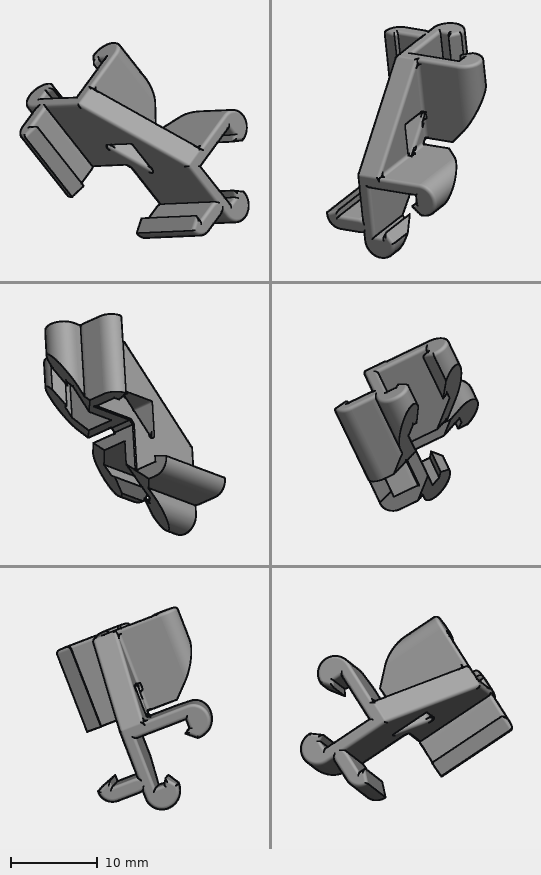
import cadquery as cq
import math


wall = 1.5
channel_inside = 7.65
hook_radius = 2.0
clip_start = -10.51
clip_end = -0.55
hook_center = channel_inside + 0.7
hook_flat = 0.2
hook_tip = (3.0, 6.95)
hook_notch = 2.55

arm_inner = 5.72
arm_width = 1.77
arm_drop = 3.08
arm_tip_reach = 0.76
arm_end_offset = 0.1
shoulder_height = 0.53
shoulder_radius = 2.0

web_height = 2 * wall
web_inner_line = 0.65
window_leg = 3.98
window_line = 3.03
window_corner = 0.5
window_square_corner = 0.2

edge_radius = 0.4
end_break = 0.13

first_bevel_offset = 6.11
first_bevel_lean = 1.0
second_bevel_offset = 5.9
second_bevel_lean = 1.12
far = 52.7

turn_z = 6.9
turn_y = -25.3
turn_x = -67.1

DIAGONAL = (1, 1, 0)


def extrude_along_y(sketch, start, end):
    return sketch.extrude(start - end).translate((0, start, 0))


def channel():
    outer = hook_center + hook_radius
    hook_end = 2 * hook_radius
    outline = (
        cq.Workplane("XZ")
        .lineTo(0, hook_center)
        .threePointArc((-hook_radius, outer), (-hook_end, hook_center))
        .lineTo(-hook_end, hook_center - hook_flat)
        .lineTo(-hook_tip[0], hook_tip[1])
        .lineTo(-hook_notch, channel_inside)
        .lineTo(-wall, channel_inside)
        .lineTo(-wall, wall)
        .lineTo(-channel_inside, wall)
        .lineTo(-channel_inside, hook_notch)
        .lineTo(-hook_tip[1], hook_tip[0])
        .lineTo(-hook_center + hook_flat, hook_end)
        .lineTo(-hook_center, hook_end)
        .threePointArc((-outer, hook_radius), (-hook_center, 0))
        .close()
    )
    bar = extrude_along_y(outline, clip_start, clip_end)
    bar = bar.faces("<Y").edges().fillet(edge_radius)
    return bar.faces(">Y").edges("<Z").chamfer(end_break)


def side_hook():
    arm_outer = arm_inner + arm_width
    arc_mid = arm_width * math.sqrt(0.5)
    end_x = arm_inner - arm_end_offset
    end_z = arm_drop + math.sqrt(arm_width**2 - arm_end_offset**2)
    root = edge_radius
    top = shoulder_height + root
    half = top / 2
    top_inset = shoulder_radius - math.sqrt(shoulder_radius**2 - top**2)
    half_inset = shoulder_radius - math.sqrt(shoulder_radius**2 - half**2)
    half_z = half - shoulder_height
    outline = (
        cq.Workplane("XZ")
        .moveTo(-arm_outer + top_inset, root)
        .threePointArc((-arm_outer + half_inset, half_z), (-arm_outer, -shoulder_height))
        .lineTo(-arm_outer, -arm_drop)
        .threePointArc((-arm_inner - arc_mid, -arm_drop - arc_mid), (-end_x, -end_z))
        .lineTo(-arm_inner + arm_tip_reach, -arm_drop)
        .lineTo(-arm_inner, -arm_drop)
        .lineTo(-arm_inner, -shoulder_height)
        .threePointArc((-arm_inner - half_inset, half_z), (-arm_inner - top_inset, root))
        .close()
    )
    hook = extrude_along_y(outline, clip_start, clip_end)
    below_root = cq.selectors.BoxSelector((-far, -far, -far), (far, far, root / 2))
    return hook.faces("<Y").edges(below_root).fillet(edge_radius)


def bevel_space(offset, lean):
    plane = cq.Plane(origin=(0, 0, offset), xDir=(1, 0, 1), normal=(-1, lean, 1))
    return cq.Workplane(plane).rect(far, far).extrude(far)


def web():
    inset = wall / 2
    corner = clip_end + web_inner_line
    outline = (
        cq.Workplane("XY")
        .moveTo(-inset, clip_start)
        .lineTo(0, clip_start)
        .lineTo(-clip_start, 0)
        .lineTo(-clip_start, inset)
        .lineTo(-clip_end, inset)
        .lineTo(-clip_end, -corner)
        .lineTo(corner, clip_end)
        .lineTo(-inset, clip_end)
        .close()
    )
    block = outline.extrude(web_height)
    slant_edges = block.faces(">(1, -1, 0)").edges().vals()
    start_edges = block.faces("<Y or >X").edges("<Z").vals()
    block = block.newObject([block.val().fillet(edge_radius, slant_edges + start_edges)])
    near_corner = cq.selectors.BoxSelector((-wall, -wall, -0.26), (wall, wall, 0.26))
    return block.faces("<Z").edges(near_corner).chamfer(end_break)


def web_cove():
    """Concave round where the web meets the upright wall of the first clip."""
    profile = (
        cq.Workplane("XZ")
        .moveTo(0, web_height)
        .lineTo(0, web_height + edge_radius)
        .radiusArc((edge_radius, web_height), -edge_radius)
        .close()
    )
    strip = extrude_along_y(profile, clip_start, 0)
    reach = -clip_start - edge_radius * math.sqrt(2)
    web_flat = (
        cq.Workplane("XY")
        .polyline([(0, -reach), (reach, 0), (web_inner_line, 0), (0, -web_inner_line)])
        .close()
        .extrude(far)
    )
    return strip.intersect(web_flat)


def window_prism(bottom, height, widening=0.0):
    """Triangular prism with its long side moved outwards by the widening."""
    long_side = window_line - widening * math.sqrt(2)
    tip = window_leg - long_side
    prism = (
        cq.Workplane("XY", origin=(0, 0, bottom))
        .polyline([(window_leg, -window_leg), (window_leg, tip), (-tip, -window_leg)])
        .close()
        .extrude(height)
    )
    prism = prism.edges("|Z and >(1, -1, 0)").fillet(window_square_corner)
    return prism.edges("|Z and (>Y or <X)").fillet(window_corner)


def window_flare(bottom, axis_height):
    """Space left free by rounding one long edge of the window."""
    shift = (window_line - edge_radius * math.sqrt(2)) / 2
    start = cq.Vector(shift - far / 2, -shift - far / 2, axis_height)
    rod = cq.Solid.makeCylinder(edge_radius, far * math.sqrt(2), start, cq.Vector(1, 1, 0))
    return window_prism(bottom, edge_radius, edge_radius).cut(cq.Workplane(rod))


def window():
    through = window_prism(0, web_height + edge_radius)
    lower_flare = window_flare(0, edge_radius)
    upper_start = web_height - edge_radius
    return through.union(lower_flare).union(window_flare(upper_start, upper_start))


clip = channel().union(side_hook())
first_clip = clip.cut(bevel_space(first_bevel_offset, first_bevel_lean))
second_clip = clip.mirror(DIAGONAL).cut(bevel_space(second_bevel_offset, second_bevel_lean))

body = first_clip.union(second_clip).union(web())
cove = web_cove()
body = body.union(cove).union(cove.mirror(DIAGONAL)).cut(window())

result = (
    body.rotate((0, 0, 0), (1, 0, 0), turn_x)
    .rotate((0, 0, 0), (0, 1, 0), turn_y)
    .rotate((0, 0, 0), (0, 0, 1), turn_z)
)